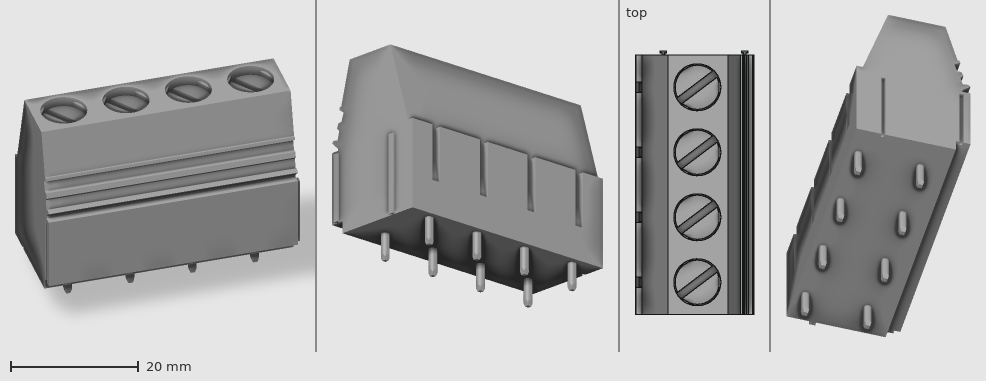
import cadquery as cq

POLE_COUNT = 4
PITCH = 10.16
BODY_LENGTH = POLE_COUNT * PITCH
POLE_CENTRES = [(i + 0.5) * PITCH for i in range(POLE_COUNT)]

BODY_DEPTH = 18.5
BODY_HEIGHT = 28.5
SHOULDER_HEIGHT = 14.9
SHOULDER_WIDTH = 1.0
TOP_START = 5.1
TOP_END = 14.45
LEDGE_HEIGHT = 14.0
FOOT_HEIGHT = 2.0
FOOT_END = 16.1
LEDGE_START = 17.15

UPPER_BARB = [(16.38, 21.2), (16.7, 21.2), (16.85, 20.7), (15.85, 20.05)]
MIDDLE_BARB = [(16.35, 18.6), (17.05, 18.6), (17.35, 17.75), (16.85, 17.2)]
LOWER_BARB = [(17.25, 15.7), (17.65, 15.9), (18.25, 15.9), (BODY_DEPTH, 15.6), (LEDGE_START, 14.35)]

HOLE_DIAMETER = 7.35
SCREW_X = 9.65
HEAD_DIAMETER = 6.9
HEAD_RECESS = 1.5
SLOT_WIDTH = 1.2
SLOT_DEPTH = 1.25
SLOT_ANGLE = 37.0

LUG_COUNT = 3
LUG_DISTANCE = 3.42
LUG_WALL_DROP = 0.5
LUG_EDGE_DROP = 0.75

WINDOW_WIDTH = 1.65
WINDOW_BOTTOM = 5.65
RAMP_WIDTH = 1.4
RAMP_REACH = 0.5
RAMP_TOP = 9.35
RAMP_KNEE = 6.65

RIB_PLACES = [(4.35, 0.0), (17.05, FOOT_HEIGHT)]
RIB_TOP = 13.35
RIB_HEIGHT = 0.6
RIB_NECK = 0.45
RIB_HEAD = 1.0
GROOVE_MOUTH = 0.7
GROOVE_FLOOR = 0.4
GROOVE_DEPTH = 0.6

PIN_WIDTH_X = 1.2
PIN_WIDTH_Y = 1.33
PIN_LENGTH = 4.5
PIN_CORNER_RADIUS = 0.5
FIRST_PIN_ROW = 1.63
PIN_ROW_SPACING = 10.1
PIN_ROWS = [FIRST_PIN_ROW, FIRST_PIN_ROW + PIN_ROW_SPACING]
PIN_TIP_WIDTH = 0.7
PIN_TIP_LENGTH = 1.0


def make_housing():
    """Side profile in XZ, with three barbs on the +X slope, extruded along Y."""
    profile = [
        (0, 0),
        (0, SHOULDER_HEIGHT),
        (SHOULDER_WIDTH, SHOULDER_HEIGHT),
        (TOP_START, BODY_HEIGHT),
        (TOP_END, BODY_HEIGHT),
        *UPPER_BARB,
        *MIDDLE_BARB,
        *LOWER_BARB,
        (LEDGE_START, LEDGE_HEIGHT),
        (BODY_DEPTH, LEDGE_HEIGHT),
        (BODY_DEPTH, FOOT_HEIGHT),
        (FOOT_END, FOOT_HEIGHT),
        (FOOT_END, 0),
    ]
    return cq.Workplane("XZ").polyline(profile).close().extrude(-BODY_LENGTH)


def make_screw_cavity(y):
    """Round hole less the slotted screw head and the lugs that hold the screw down."""
    hole_radius = HOLE_DIAMETER / 2
    hole_depth = HEAD_RECESS + SLOT_DEPTH
    hole = cq.Workplane("XY").circle(hole_radius).extrude(-hole_depth)

    head = cq.Workplane("XY", origin=(0, 0, -hole_depth)).circle(HEAD_DIAMETER / 2).extrude(SLOT_DEPTH)
    slot = (
        cq.Workplane("XY", origin=(0, 0, -hole_depth))
        .rect(HOLE_DIAMETER, SLOT_WIDTH)
        .extrude(SLOT_DEPTH)
        .rotate((0, 0, 0), (0, 0, 1), SLOT_ANGLE)
    )
    cavity = hole.cut(head.cut(slot))

    lug_profile = [
        (LUG_DISTANCE, -hole_depth),
        (LUG_DISTANCE, -LUG_EDGE_DROP),
        (hole_radius, -LUG_WALL_DROP),
        (hole_radius, -hole_depth),
    ]
    lug = cq.Workplane("XZ").polyline(lug_profile).close().extrude(hole_radius, both=True)
    for i in range(LUG_COUNT):
        cavity = cavity.cut(lug.rotate((0, 0, 0), (0, 0, 1), i * 360 / LUG_COUNT))
    return cavity.translate((SCREW_X, y, BODY_HEIGHT))


def make_window(y):
    """Narrow pocket in the -X wall, less the ramp that stays inside it."""
    pocket = cq.Workplane("XY").box(
        SHOULDER_WIDTH,
        WINDOW_WIDTH,
        SHOULDER_HEIGHT - WINDOW_BOTTOM,
        centered=(False, True, False),
    )
    pocket = pocket.translate((0, y, WINDOW_BOTTOM))
    ramp_front = SHOULDER_WIDTH - RAMP_REACH
    ramp_profile = [
        (SHOULDER_WIDTH, WINDOW_BOTTOM),
        (SHOULDER_WIDTH, RAMP_TOP),
        (ramp_front, RAMP_KNEE),
        (ramp_front, WINDOW_BOTTOM),
    ]
    ramp = (
        cq.Workplane("XZ", origin=(0, y, 0))
        .polyline(ramp_profile)
        .close()
        .extrude(RAMP_WIDTH / 2, both=True)
    )
    return pocket.cut(ramp)


def make_rib(x, bottom):
    """T-shaped rib standing on the +Y end."""
    height = RIB_TOP - bottom
    neck = cq.Workplane("XY").box(RIB_NECK, RIB_HEIGHT, height, centered=(True, False, False))
    head_height = RIB_HEIGHT / 2
    head = (
        cq.Workplane("XY")
        .box(RIB_HEAD, head_height, height, centered=(True, False, False))
        .translate((0, RIB_HEIGHT - head_height, 0))
    )
    return neck.union(head).translate((x, BODY_LENGTH, bottom))


def make_groove(x, bottom):
    """Tapered groove in the -Y end."""
    section = [
        (x - GROOVE_MOUTH / 2, 0),
        (x + GROOVE_MOUTH / 2, 0),
        (x + GROOVE_FLOOR / 2, GROOVE_DEPTH),
        (x - GROOVE_FLOOR / 2, GROOVE_DEPTH),
    ]
    return (
        cq.Workplane("XY", origin=(0, 0, bottom))
        .polyline(section)
        .close()
        .extrude(RIB_TOP - bottom)
    )


def make_pin(x, y):
    """Near-square pin with rounded edges and a four-sided tapered tip."""
    shank = (
        cq.Workplane("XY")
        .rect(PIN_WIDTH_X, PIN_WIDTH_Y)
        .extrude(-PIN_LENGTH)
        .edges("|Z")
        .fillet(PIN_CORNER_RADIUS)
    )
    straight_length = PIN_LENGTH - PIN_TIP_LENGTH
    straight = cq.Workplane("XY").rect(PIN_WIDTH_X, PIN_WIDTH_Y).extrude(-straight_length)
    tip = (
        cq.Workplane("XY", origin=(0, 0, -straight_length))
        .rect(PIN_WIDTH_X, PIN_WIDTH_Y)
        .workplane(offset=-PIN_TIP_LENGTH)
        .rect(PIN_TIP_WIDTH, PIN_TIP_WIDTH)
        .loft(ruled=True)
    )
    return shank.intersect(straight.union(tip)).translate((x, y, 0))


result = make_housing()
for rib_x, rib_bottom in RIB_PLACES:
    result = result.union(make_rib(rib_x, rib_bottom))
    result = result.cut(make_groove(rib_x, rib_bottom))
for pole_y in POLE_CENTRES:
    result = result.cut(make_screw_cavity(pole_y))
    result = result.cut(make_window(pole_y))
    for pin_x in PIN_ROWS:
        result = result.union(make_pin(pin_x, pole_y))